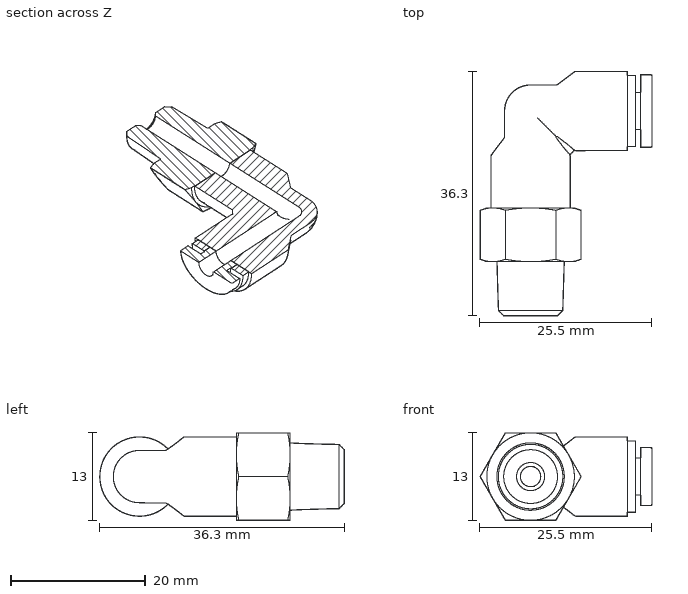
import cadquery as cq
import math


neck_radius = 3.9
barrel_diameter = 11.8
barrel_radius = barrel_diameter / 2
neck_end = 3.92
barrel_start = 6.6
leg_length = 14.37
shoulder_blend = 0.45
web_thickness = 2.0
web_near = 5.85
web_far = 6.5
bore_diameter = 3.0
bore_radius = bore_diameter / 2

overall_length = 36.3
stud_end = overall_length - barrel_radius
hex_flats = 13.0
hex_corners = hex_flats * 2 / math.sqrt(3)
hex_length = 8
hex_bevel = 0.35
thread_start = leg_length + hex_length
thread_root_radius = 5.0
thread_tip_radius = 4.8
tip_chamfer = 0.8
mouth_diameter = 4.17
mouth_depth = (mouth_diameter - bore_diameter) / 2

collar_diameter = 10.6
collar_end = 15.57

stem_diameter = 5.5
head_start = 16.35
head_width = 10.8
head_height = 8.65
head_rounding = 0.2
overall_width = 25.52
sleeve_end = overall_width - hex_corners / 2


def cylinder_along_x(start, end, diameter):
    return cq.Workplane("YZ", origin=(start, 0, 0)).circle(diameter / 2).extrude(end - start)


def turned_along_x(points):
    """Revolve (x, radius) points about the X axis."""
    return cq.Workplane("XY").polyline(points).close().revolve(360, (0, 0, 0), (1, 0, 0))


def to_threaded_leg(shape):
    """Swing a shape made along +X round to -Y."""
    return shape.rotate((0, 0, 0), (0, 0, 1), -90)


def make_leg():
    """Leg along +X: a neck, a conical shoulder and a barrel."""
    leg = turned_along_x([
        (0, 0),
        (0, neck_radius),
        (neck_end, neck_radius),
        (barrel_start, barrel_radius),
        (leg_length, barrel_radius),
        (leg_length, 0),
    ])
    shoulder_ends = cq.selectors.BoxSelector(
        (neck_end - shoulder_blend, -barrel_radius, -barrel_radius),
        (barrel_start + shoulder_blend, barrel_radius, barrel_radius),
    )
    return leg.edges("%CIRCLE").edges(shoulder_ends).fillet(shoulder_blend)


def make_web():
    """Flat web that fills the inner corner between the two shoulder cones."""
    return (
        cq.Workplane("XY")
        .polyline([(0, 0), (web_far, -web_near), (web_near, -web_far)])
        .close()
        .extrude(web_thickness / 2, both=True)
    )


def make_elbow():
    leg = make_leg()
    leg_bore = cylinder_along_x(0, leg_length, bore_diameter)
    corner_ball = cq.Workplane("XY").sphere(neck_radius)
    bore_ball = cq.Workplane("XY").sphere(bore_radius)
    outside = leg.union(to_threaded_leg(leg)).union(corner_ball).union(make_web())
    passage = leg_bore.union(to_threaded_leg(leg_bore)).union(bore_ball)
    return outside.cut(passage)


def make_stud():
    """Hexagon, taper thread and bore, made along +X and swung into place."""
    hexagon = (
        cq.Workplane("YZ", origin=(leg_length, 0, 0))
        .polygon(6, hex_corners)
        .extrude(hex_length)
    )
    bevels = turned_along_x([
        (leg_length, 0),
        (leg_length, hex_flats / 2),
        (leg_length + hex_bevel, hex_corners / 2),
        (thread_start - hex_bevel, hex_corners / 2),
        (thread_start, hex_flats / 2),
        (thread_start, 0),
    ])
    thread = turned_along_x([
        (thread_start, 0),
        (thread_start, thread_root_radius),
        (stud_end - tip_chamfer, thread_tip_radius),
        (stud_end, thread_tip_radius - tip_chamfer),
        (stud_end, 0),
    ])
    bore = turned_along_x([
        (leg_length, 0),
        (leg_length, bore_radius),
        (stud_end - mouth_depth, bore_radius),
        (stud_end, mouth_diameter / 2),
        (stud_end, 0),
    ])
    return to_threaded_leg(hexagon.intersect(bevels).union(thread).cut(bore))


def make_collar():
    collar = cylinder_along_x(leg_length, collar_end, collar_diameter)
    stem_hole = cylinder_along_x(leg_length, collar_end, stem_diameter)
    return collar.cut(stem_hole)


def make_sleeve():
    """Round stem seated in the collar, with an oval head outside it."""
    stem = cylinder_along_x(leg_length, head_start, stem_diameter)
    head = (
        cq.Workplane("YZ", origin=(head_start, 0, 0))
        .ellipse(head_width / 2, head_height / 2)
        .extrude(sleeve_end - head_start)
        .faces(">X").edges().fillet(head_rounding)
    )
    bore = cylinder_along_x(leg_length, sleeve_end, bore_diameter)
    return stem.union(head).cut(bore)


elbow = make_elbow()
stud = make_stud()
collar = make_collar()
sleeve = make_sleeve()

result = cq.Compound.makeCompound([elbow.val(), stud.val(), collar.val(), sleeve.val()])